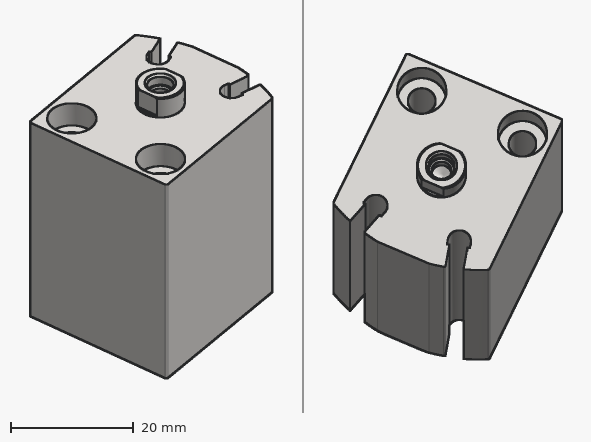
import cadquery as cq
import math

width = 28.0
depth = 32.0
total_height = 44.0
rod_protrusion = 4.0
housing_height = total_height - rod_protrusion
back_y = 15.0
front_y = back_y - depth
corner_radius = 0.4

crown_radius = 30.0
crown_center_y = -14.65

slot_x = 7.5
slot_y = 9.35
slot_tilt = 15.0
slot_round_diameter = 3.8
slot_shoulder = 0.9
slot_neck_width = 3.0
slot_reach = 8.8
slot_lip_radius = 0.25

mount_x = 9.0
mount_y = -12.0
mount_diameter = 4.5
counterbore_diameter = 8.0
counterbore_depth = 4.58

rod_diameter = 8.0
rod_insertion = 12.0
rod_chamfer = 0.18
flats_width = 7.0
flats_base_gap = 0.35

bore_countersink_diameter = 5.1
bore_diameter = 4.3
bore_depth = 2.02
step_diameter = 4.15
step_depth = 2.15
drill_diameter = 3.25
drill_depth = 4.0
drill_point_angle = 120.0


def crown_y(x):
    """Y of the crown arc at a given X."""
    return crown_center_y + math.sqrt(crown_radius**2 - x**2)


def make_blank():
    half_width = width / 2
    half_flat = math.sqrt(crown_radius**2 - (back_y - crown_center_y) ** 2)
    arc_mid_x = (half_width + half_flat) / 2
    side_y = crown_y(half_width)
    arc_mid_y = crown_y(arc_mid_x)
    return (
        cq.Workplane("XY")
        .moveTo(-half_width, front_y)
        .lineTo(half_width, front_y)
        .lineTo(half_width, side_y)
        .threePointArc((arc_mid_x, arc_mid_y), (half_flat, back_y))
        .lineTo(-half_flat, back_y)
        .threePointArc((-arc_mid_x, arc_mid_y), (-half_width, side_y))
        .close()
        .extrude(housing_height)
        .edges("|Z and (<X or >X)")
        .fillet(corner_radius)
    )


def make_slot(side):
    """Keyhole slot leaning outward; side is -1 for left and +1 for right."""
    radius = slot_round_diameter / 2
    half_neck = slot_neck_width / 2
    return (
        cq.Workplane("XY")
        .moveTo(-radius, 0)
        .threePointArc((0, -radius), (radius, 0))
        .lineTo(radius, slot_shoulder)
        .lineTo(half_neck, slot_shoulder)
        .lineTo(half_neck, slot_reach)
        .lineTo(-half_neck, slot_reach)
        .lineTo(-half_neck, slot_shoulder)
        .lineTo(-radius, slot_shoulder)
        .close()
        .extrude(housing_height)
        .rotate((0, 0, 0), (0, 0, 1), -side * slot_tilt)
        .translate((side * slot_x, slot_y, 0))
    )


def lip_search_box():
    """Corners of a box holding only the two inner slot-mouth edges."""
    tilt = math.tan(math.radians(slot_tilt))
    lip_x = slot_x + (crown_y(slot_x) - slot_y) * tilt - slot_neck_width / 2
    lip_y = crown_y(lip_x)
    margin = 0.45
    return (
        (-lip_x - margin, lip_y - margin, 0),
        (lip_x + margin, lip_y + margin, housing_height),
    )


def make_housing():
    housing = make_blank()
    for side in (-1, 1):
        housing = housing.cut(make_slot(side))
    housing = housing.edges(cq.selectors.BoxSelector(*lip_search_box())).fillet(slot_lip_radius)
    housing = (
        housing.faces(">Z")
        .workplane(origin=(0, 0, housing_height))
        .pushPoints([(-mount_x, mount_y), (mount_x, mount_y)])
        .cboreHole(mount_diameter, counterbore_diameter, counterbore_depth)
    )
    socket = (
        cq.Workplane("XY", origin=(0, 0, housing_height - rod_insertion))
        .circle(rod_diameter / 2)
        .extrude(rod_insertion)
    )
    return housing.cut(socket)


def make_rod_bore():
    """Countersunk, stepped bore with a drill point, revolved about the rod axis."""
    countersink_depth = (bore_countersink_diameter - bore_diameter) / 2
    point_slope = 1 / math.tan(math.radians(drill_point_angle / 2))
    step_taper = (step_diameter - drill_diameter) / 2 * point_slope
    point_depth = drill_diameter / 2 * point_slope
    return (
        cq.Workplane("XZ", origin=(0, 0, total_height))
        .lineTo(bore_countersink_diameter / 2, 0)
        .lineTo(bore_diameter / 2, -countersink_depth)
        .lineTo(bore_diameter / 2, -bore_depth)
        .lineTo(step_diameter / 2, -bore_depth)
        .lineTo(step_diameter / 2, -step_depth)
        .lineTo(drill_diameter / 2, -step_depth - step_taper)
        .lineTo(drill_diameter / 2, -drill_depth)
        .lineTo(0, -drill_depth - point_depth)
        .close()
        .revolve(360, (0, 0, 0), (0, 1, 0))
    )


def make_rod():
    rod = (
        cq.Workplane("XY", origin=(0, 0, housing_height - rod_insertion))
        .circle(rod_diameter / 2)
        .extrude(rod_insertion + rod_protrusion)
        .faces(">Z")
        .chamfer(rod_chamfer)
    )
    flat_depth = (rod_diameter - flats_width) / 2
    flat_height = rod_protrusion - flats_base_gap
    for side in (-1, 1):
        flat = (
            cq.Workplane("XY", origin=(0, 0, housing_height + flats_base_gap))
            .center(0, side * (flats_width + flat_depth) / 2)
            .rect(rod_diameter, flat_depth)
            .extrude(flat_height)
        )
        rod = rod.cut(flat)
    return rod.cut(make_rod_bore())


housing = make_housing()
rod = make_rod()
result = cq.Compound.makeCompound([housing.val(), rod.val()])